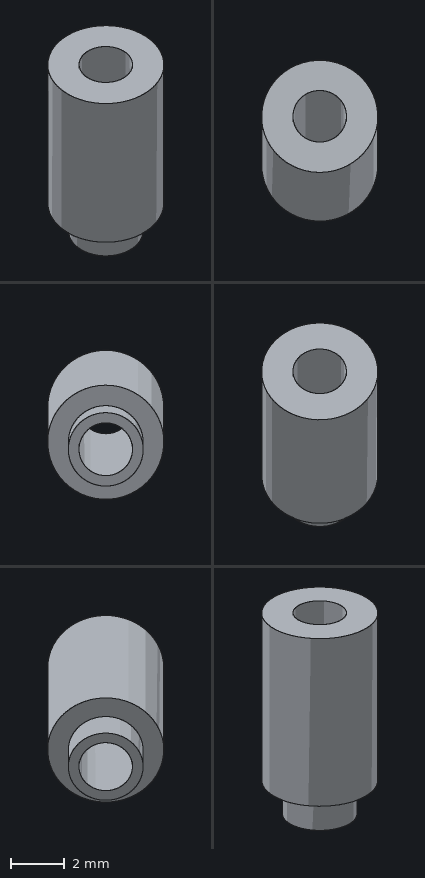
import cadquery as cq

total_height = 8.4
body_diameter = 4.35
spigot_diameter = 2.8
bore_diameter = 2.0
spigot_length = 1.4

body_length = total_height - spigot_length

spigot = cq.Workplane("XY").circle(spigot_diameter / 2).extrude(spigot_length)

body = spigot.faces(">Z").workplane().circle(body_diameter / 2).extrude(body_length)

result = body.faces(">Z").workplane().hole(bore_diameter)